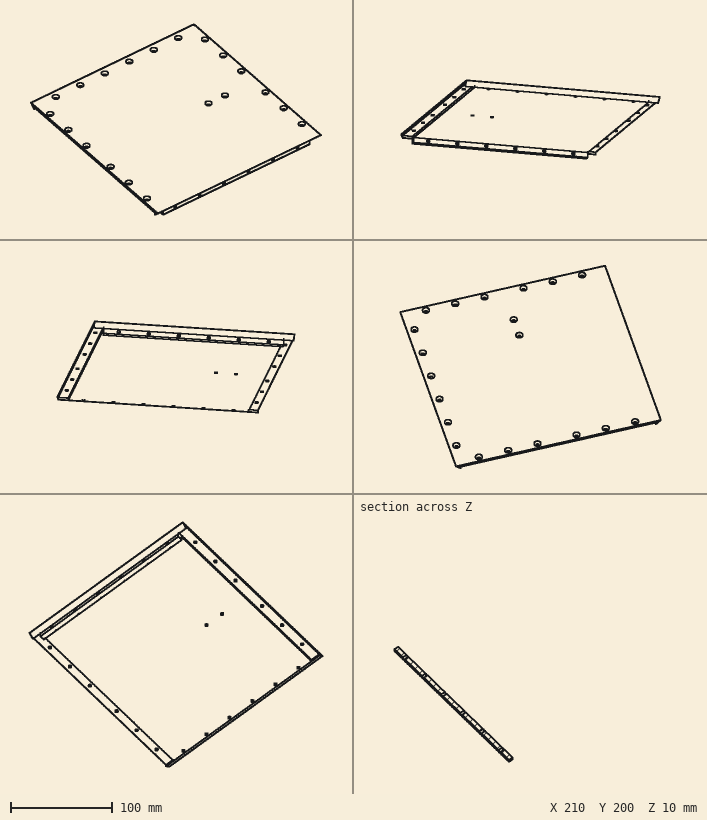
import cadquery as cq

length_x = 210.0
width_y = 200.0
plate_thickness = 5.0
bevel_width = plate_thickness
bottom_half_x = length_x / 2 - bevel_width

rebate_depth = 2.5

total_height = 10.0
rail_thickness = 5.0
rail_length = 180.0
rebate_width = (width_y - rail_length) / 2

hole_diameter = 2.5
countersink_diameter = 6.7
countersink_angle = 90
hole_pitch = 30.0
edge_row_gap = 40.0
edge_row_y = width_y / 2 - 5.0
side_row_x = 7.5 - length_x / 2
center_hole_ys = (40.0, 60.0)
rail_hole_z = -7.5

side_row_ys = [(i - 2.5) * hole_pitch for i in range(6)]
edge_row_xs = [
    side * (edge_row_gap / 2 + i * hole_pitch)
    for side in (-1, 1)
    for i in range(3)
]


def make_plate():
    half_x = length_x / 2
    section = [
        (-half_x, 0),
        (half_x, 0),
        (bottom_half_x, -plate_thickness),
        (-bottom_half_x, -plate_thickness),
    ]
    return cq.Workplane("XZ").polyline(section).close().extrude(width_y / 2, both=True)


def make_rebates():
    depth = plate_thickness - rebate_depth
    return (
        cq.Workplane("XY", origin=(0, 0, -plate_thickness))
        .pushPoints([(0, side * (width_y - rebate_width) / 2) for side in (-1, 1)])
        .rect(2 * bottom_half_x, rebate_width)
        .extrude(depth)
    )


def make_rail():
    return (
        cq.Workplane("XY", origin=(bottom_half_x - rail_thickness / 2, 0, -total_height))
        .rect(rail_thickness, rail_length)
        .extrude(total_height - rebate_depth)
    )


def make_rail_holes():
    return (
        cq.Workplane("YZ", origin=(bottom_half_x - rail_thickness, 0, 0))
        .pushPoints([(y, rail_hole_z) for y in side_row_ys])
        .circle(hole_diameter / 2)
        .extrude(rail_thickness)
    )


countersunk_centers = (
    [(x, side * edge_row_y) for side in (-1, 1) for x in edge_row_xs]
    + [(side_row_x, y) for y in side_row_ys]
    + [(0, y) for y in center_hole_ys]
)

body = make_plate().cut(make_rebates()).union(make_rail()).cut(make_rail_holes())
result = (
    body.copyWorkplane(cq.Workplane("XY"))
    .pushPoints(countersunk_centers)
    .cskHole(hole_diameter, countersink_diameter, countersink_angle, depth=plate_thickness)
)